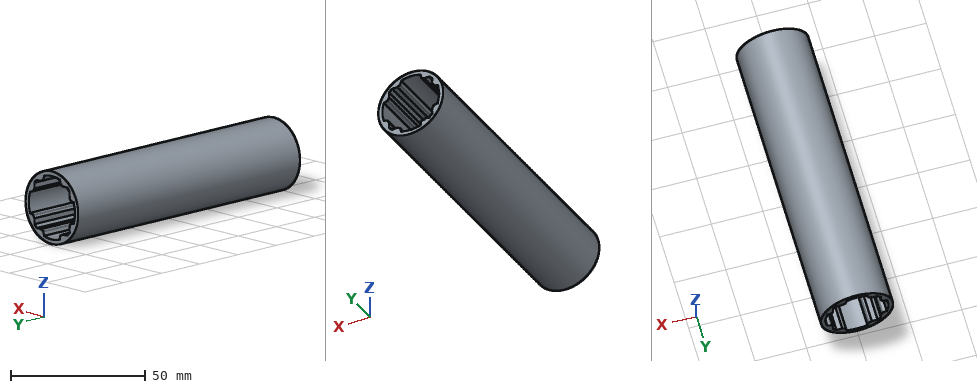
import cadquery as cq

length = 116.1
outer_diameter = 28.0
crest_diameter = 21.7
groove_diameter = 24.4

wide_groove_floor_width = 8.0
wide_groove_mouth_width = 9.2
wide_groove_floor_height = 11.6
wide_groove_mouth_height = 9.8

narrow_groove_square = 18.5

rib_tip_radius = 0.5


def centered_plane():
    """Cross-section plane at the -Y end of the tube."""
    return cq.Workplane("XZ", origin=(0, -length / 2, 0))


def cylinder(diameter):
    return centered_plane().circle(diameter / 2).extrude(-length)


def wide_groove(angle):
    """One flared groove, its walls continued past the groove floor."""
    flare = (wide_groove_mouth_width - wide_groove_floor_width) / 2
    flare /= wide_groove_floor_height - wide_groove_mouth_height
    top = outer_diameter / 2
    half_top = wide_groove_floor_width / 2 - flare * (top - wide_groove_floor_height)
    half_mouth = wide_groove_mouth_width / 2
    outline = [
        (-half_top, top),
        (half_top, top),
        (half_mouth, wide_groove_mouth_height),
        (-half_mouth, wide_groove_mouth_height),
    ]
    groove = centered_plane().polyline(outline).close().extrude(-length)
    return groove.rotate((0, 0, 0), (0, 1, 0), angle)


def bore():
    """Splined bore: the crest circle widened by the wide and narrow grooves."""
    square = centered_plane().rect(narrow_groove_square, narrow_groove_square)
    grooves = square.extrude(-length)
    for angle in (0, 90, 180, 270):
        grooves = grooves.union(wide_groove(angle))
    return cylinder(crest_diameter).union(grooves.intersect(cylinder(groove_diameter)))


def rib_tip_edges(tube):
    """Lengthwise edges where the wide groove walls meet the rib crests."""
    half_size = wide_groove_mouth_width / 2 + rib_tip_radius
    reach = crest_diameter / 2 + rib_tip_radius
    selected = tube.edges("|Y")
    return selected.edges(
        cq.selectors.BoxSelector(
            (-half_size, -length, -reach), (half_size, length, reach)
        )
        + cq.selectors.BoxSelector(
            (-reach, -length, -half_size), (reach, length, half_size)
        )
    )


tube = cylinder(outer_diameter).cut(bore())
result = rib_tip_edges(tube).fillet(rib_tip_radius)